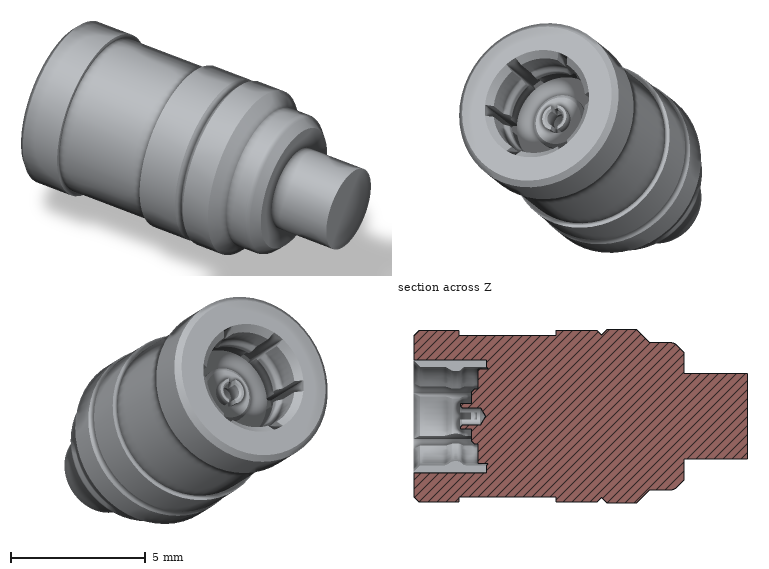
import cadquery as cq
import math


total_length = 12.45
shell_radius = 3.2
grip_radius = 3.03
collar_radius = 3.25
nut_radius = 2.75
cable_radius = 3.2 / 2
front_band_end = 1.69
rear_band_start = 5.29
front_chamfer = 0.2
v_groove_x = 7.0
v_groove_radius = 3.04
collar_end = 8.29
nut_start = collar_end + collar_radius - nut_radius
nut_end = 10.07
nut_chamfer = 0.37
nut_fillet = 0.27

mouth_radius = 2.09
bore_radius = 1.84
ridge_radius = 1.69
ridge_start = 1.21
ridge_ramp = 0.25
ridge_land = 0.27
ridge_fillet = 0.17
bore_depth = 2.7
floor_chamfer = 0.07

slot_count = 6
slot_width = 0.42

insulator_radius = bore_radius - floor_chamfer
insulator_front = 2.39
boss_radius = 1.03
boss_front = 2.14
boss_chamfer = 0.12

contact_radius = 0.49
contact_front = 1.74
pin_hole_radius = 0.31
pin_hole_depth = 0.75
pin_hole_countersink = 0.07
pin_hole_tip_angle = 118
contact_slot_width = 0.26
contact_slot_depth = 0.62


def revolve_profile(points):
    """Revolve a closed (X, radius) outline about the X axis, rounding corners that give a fillet."""
    outline = cq.Workplane("XY").moveTo(*points[0][:2])
    for i in range(1, len(points)):
        corner = cq.Vector(*points[i][:2])
        if len(points[i]) == 2:
            outline = outline.lineTo(corner.x, corner.y)
            continue
        fillet = points[i][2]
        back = (cq.Vector(*points[i - 1][:2]) - corner).normalized()
        ahead = (cq.Vector(*points[i + 1][:2]) - corner).normalized()
        half_angle = back.getAngle(ahead) / 2
        tangent_length = fillet / math.tan(half_angle)
        apex_distance = fillet / math.sin(half_angle) - fillet
        arc_start = corner + back * tangent_length
        arc_middle = corner + (back + ahead).normalized() * apex_distance
        arc_end = corner + ahead * tangent_length
        outline = outline.lineTo(arc_start.x, arc_start.y)
        outline = outline.threePointArc((arc_middle.x, arc_middle.y), (arc_end.x, arc_end.y))
    return outline.close().revolve(360, (0, 0, 0), (1, 0, 0))


def make_shell():
    groove_front = v_groove_x - (shell_radius - v_groove_radius)
    groove_rear = v_groove_x + (collar_radius - v_groove_radius)
    return revolve_profile([
        (0, 0),
        (0, shell_radius - front_chamfer),
        (front_chamfer, shell_radius),
        (front_band_end, shell_radius),
        (front_band_end, grip_radius),
        (rear_band_start, grip_radius),
        (rear_band_start, shell_radius),
        (groove_front, shell_radius),
        (v_groove_x, v_groove_radius),
        (groove_rear, collar_radius),
        (collar_end, collar_radius),
        (nut_start, nut_radius),
        (nut_end - nut_chamfer, nut_radius, nut_fillet),
        (nut_end, nut_radius - nut_chamfer),
        (nut_end, cable_radius),
        (total_length, cable_radius),
        (total_length, 0),
    ])


def make_bore():
    lead_in = mouth_radius - bore_radius
    ridge_height = bore_radius - ridge_radius
    land_start = ridge_start + ridge_ramp
    land_end = land_start + ridge_land
    return revolve_profile([
        (0, 0),
        (0, mouth_radius),
        (lead_in, bore_radius),
        (ridge_start, bore_radius, ridge_fillet),
        (land_start, ridge_radius, ridge_fillet),
        (land_end, ridge_radius, ridge_fillet),
        (land_end + ridge_height, bore_radius, ridge_fillet),
        (bore_depth, bore_radius),
        (bore_depth + floor_chamfer, insulator_radius),
        (bore_depth + floor_chamfer, 0),
    ])


def make_finger_slots():
    """Slots open to the bore, ending radially on the mouth cylinder."""
    blades = cq.Workplane("XY")
    for i in range(slot_count // 2):
        blade = cq.Workplane("XY").box(bore_depth, 2 * shell_radius, slot_width, centered=(False, True, True))
        blades = blades.add(blade.rotate((0, 0, 0), (1, 0, 0), i * 360 / slot_count))
    sleeve = cq.Workplane("YZ").circle(mouth_radius).extrude(bore_depth)
    return blades.combine().intersect(sleeve)


def axial_cylinder(front, radius):
    """Cylinder from the given X back to the bottom of the bore."""
    length = bore_depth + floor_chamfer - front
    return cq.Workplane("YZ", origin=(front, 0, 0)).circle(radius).extrude(length)


def make_insulator():
    disc = axial_cylinder(insulator_front, insulator_radius)
    boss = axial_cylinder(boss_front, boss_radius).faces("<X").chamfer(boss_chamfer)
    return disc.union(boss)


def make_contact():
    return axial_cylinder(contact_front, contact_radius)


def make_pin_hole():
    hole_end = contact_front + pin_hole_depth
    tip_length = pin_hole_radius / math.tan(math.radians(pin_hole_tip_angle / 2))
    return revolve_profile([
        (contact_front, 0),
        (contact_front, pin_hole_radius + pin_hole_countersink),
        (contact_front + pin_hole_countersink, pin_hole_radius),
        (hole_end, pin_hole_radius),
        (hole_end + tip_length, 0),
    ])


def make_contact_slot():
    """Slot through the contact wall, lying in the XZ plane."""
    slot = cq.Workplane("XY", origin=(contact_front, 0, 0)).box(
        contact_slot_depth, contact_slot_width, 2 * contact_radius, centered=(False, True, True))
    return slot.intersect(make_contact())


socket = make_shell().cut(make_bore()).cut(make_finger_slots())
result = socket.union(make_insulator()).union(make_contact()).cut(make_pin_hole()).cut(make_contact_slot())